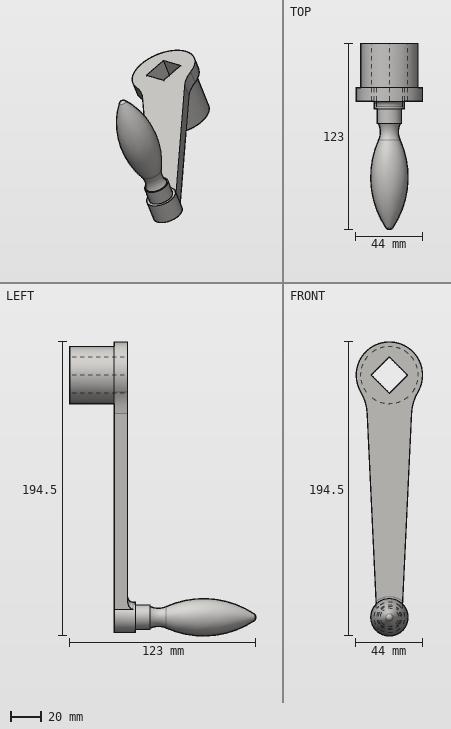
import cadquery as cq
import math

HEAD_RADIUS = 22.0
ARM_THICKNESS = 9.0
HUB_RADIUS = 18.95
HUB_LENGTH = 29.3
SQUARE_SIDE = 17.0

CRANK_THROW = 160.0
ARM_HALF_WIDTH_TOP = 16.0
ARM_HALF_WIDTH_END = 8.4
NECK_RADIUS = 31.0

BOSS_RADIUS = 10.1
BOSS_END = 14.0
BOSS_FILLET = 3.5
COLLAR_RADIUS = 8.2
COLLAR_END = 23.7
GRIP_RADIUS = 12.5
GRIP_MIDDLE = 59.0
GRIP_ARC_RADIUS = 60.2
GRIP_START = 34.4
WAIST_ARC_RADIUS = 12.6
TIP_START = 92.5
HANDLE_END = 93.7


def circle_height(center, radius, distance):
    """Height, relative to the centre, of a circle at a given distance along the handle."""
    return math.sqrt(radius**2 - (distance - center) ** 2)


def rod(radius, length):
    """Cylinder from Y = 0 toward -Y, around the Y axis."""
    return cq.Workplane("XZ").circle(radius).extrude(length)


def place_on_handle_axis(body):
    return body.translate((0, 0, -CRANK_THROW))


def spin(profile):
    """Revolve a (radius, Y) profile around the Y axis."""
    return profile.close().revolve(360, (0, 0, 0), (0, 1, 0))


def arm_prism(thickness):
    """Tapered arm with concave blends into the round head."""
    edge_angle = math.atan2(ARM_HALF_WIDTH_TOP - ARM_HALF_WIDTH_END, CRANK_THROW)
    edge_offset = ARM_HALF_WIDTH_TOP * math.cos(edge_angle)
    center_distance = HEAD_RADIUS + NECK_RADIUS
    center_angle = -edge_angle - math.acos((edge_offset + NECK_RADIUS) / center_distance)
    center_x = center_distance * math.cos(center_angle)
    center_z = center_distance * math.sin(center_angle)

    head_x = HEAD_RADIUS * math.cos(center_angle)
    head_z = HEAD_RADIUS * math.sin(center_angle)
    edge_x = center_x - NECK_RADIUS * math.cos(edge_angle)
    edge_z = center_z + NECK_RADIUS * math.sin(edge_angle)
    middle_angle = (math.pi + center_angle + math.pi - edge_angle) / 2
    middle_x = center_x + NECK_RADIUS * math.cos(middle_angle)
    middle_z = center_z + NECK_RADIUS * math.sin(middle_angle)

    return (
        cq.Workplane("XZ")
        .moveTo(-head_x, head_z)
        .threePointArc((0, HEAD_RADIUS), (head_x, head_z))
        .threePointArc((middle_x, middle_z), (edge_x, edge_z))
        .lineTo(ARM_HALF_WIDTH_END, -CRANK_THROW)
        .lineTo(-ARM_HALF_WIDTH_END, -CRANK_THROW)
        .lineTo(-edge_x, edge_z)
        .threePointArc((-middle_x, middle_z), (-head_x, head_z))
        .close()
        .extrude(thickness)
    )


def boss_fillet():
    """Concave fillet from the arm face to the boss, trimmed by the arm edges."""
    outer_radius = BOSS_RADIUS + BOSS_FILLET
    fillet_end = ARM_THICKNESS + BOSS_FILLET
    arc_inset = BOSS_FILLET * (1 - math.sqrt(0.5))
    ring = spin(
        cq.Workplane("XY")
        .moveTo(0, -ARM_THICKNESS)
        .lineTo(outer_radius, -ARM_THICKNESS)
        .threePointArc(
            (BOSS_RADIUS + arc_inset, -ARM_THICKNESS - arc_inset),
            (BOSS_RADIUS, -fillet_end),
        )
        .lineTo(0, -fillet_end)
    )
    return place_on_handle_axis(ring).intersect(arm_prism(fillet_end))


def handle():
    """Turned handle: collar, concave waist, bulging grip and rounded tip."""
    grip_center = GRIP_RADIUS - GRIP_ARC_RADIUS
    grip_start_radius = grip_center + circle_height(GRIP_MIDDLE, GRIP_ARC_RADIUS, GRIP_START)
    tip_radius = grip_center + circle_height(GRIP_MIDDLE, GRIP_ARC_RADIUS, TIP_START)

    reach = WAIST_ARC_RADIUS / GRIP_ARC_RADIUS
    waist_middle = GRIP_START + reach * (GRIP_START - GRIP_MIDDLE)
    waist_center = grip_start_radius + reach * (grip_start_radius - grip_center)
    waist_start_radius = waist_center - circle_height(waist_middle, WAIST_ARC_RADIUS, COLLAR_END)

    cap_height = HANDLE_END - TIP_START
    cap_radius = (tip_radius**2 + cap_height**2) / (2 * cap_height)
    cap_middle = (TIP_START + HANDLE_END) / 2
    cap_middle_radius = circle_height(HANDLE_END - cap_radius, cap_radius, cap_middle)

    body = spin(
        cq.Workplane("XY")
        .lineTo(COLLAR_RADIUS, 0)
        .lineTo(COLLAR_RADIUS, -COLLAR_END)
        .lineTo(waist_start_radius, -COLLAR_END)
        .threePointArc(
            (waist_center - WAIST_ARC_RADIUS, -waist_middle),
            (grip_start_radius, -GRIP_START),
        )
        .threePointArc((GRIP_RADIUS, -GRIP_MIDDLE), (tip_radius, -TIP_START))
        .threePointArc((cap_middle_radius, -cap_middle), (0, -HANDLE_END))
    )
    return place_on_handle_axis(body)


def square_socket():
    """Square hole through head and hub, standing on one corner."""
    return (
        cq.Workplane("XZ", origin=(0, HUB_LENGTH, 0))
        .transformed(rotate=(0, 0, 45))
        .rect(SQUARE_SIDE, SQUARE_SIDE)
        .extrude(HUB_LENGTH + ARM_THICKNESS)
    )


hub = rod(HUB_RADIUS, -HUB_LENGTH)
boss = place_on_handle_axis(rod(BOSS_RADIUS, BOSS_END))

result = (
    arm_prism(ARM_THICKNESS)
    .union(hub)
    .union(boss)
    .union(boss_fillet())
    .union(handle())
    .cut(square_socket())
)